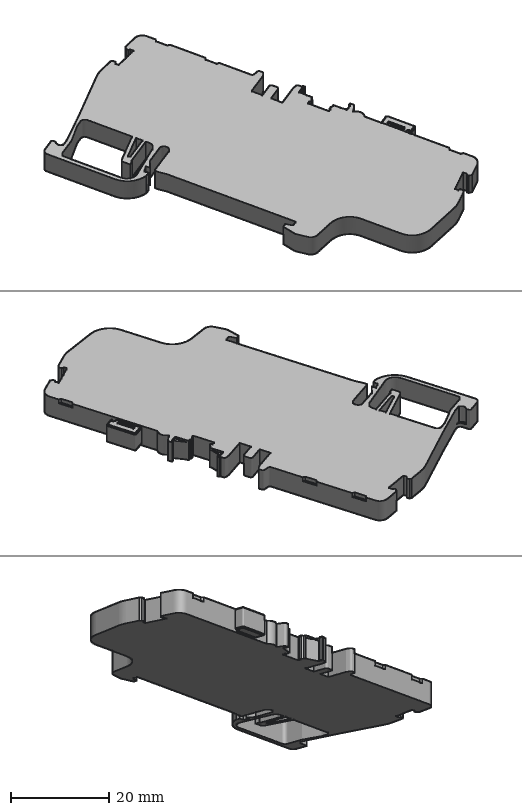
import cadquery as cq
import math

LENGTH = 82.36
HEIGHT = 42.41
THICKNESS = 5.0

DECK_Y = 39.69
BELLY_Y = 6.2
SHOULDER_Y = 13.15
WAIST_Y = 25.55

UPPER_LEAN_ANGLE = 8.5
LOWER_LEAN_ANGLE = 10.0
UPPER_LEAN = math.tan(math.radians(UPPER_LEAN_ANGLE))
LOWER_LEAN = math.tan(math.radians(LOWER_LEAN_ANGLE))
WAIST_HALF_TURN = (UPPER_LEAN_ANGLE + LOWER_LEAN_ANGLE) / 2
WAIST_RADIUS = 6.0
WAIST_OVERRUN = WAIST_RADIUS * (1 / math.cos(math.radians(WAIST_HALF_TURN)) - 1)

TOP_CORNER_RADIUS = 2.0
SHOULDER_RADIUS = 5.0


def upper_face_x(y):
    """X of the left end face above the waist."""
    return (y - WAIST_Y) * UPPER_LEAN - WAIST_OVERRUN


def lower_face_x(y):
    """X of the left end face below the waist."""
    return (WAIST_Y - y) * LOWER_LEAN - WAIST_OVERRUN


def mirrored(x):
    """X of the matching point at the other end of the housing."""
    return LENGTH - x


def prism(corners, bottom=0.0, top=THICKNESS):
    """Extrude a closed outline; a corner (x, y, r) is rounded, (x, y) is sharp."""
    runs = []
    count = len(corners)
    for i, corner in enumerate(corners):
        x, y = corner[:2]
        if len(corner) == 2:
            runs.append([(x, y)])
            continue
        radius = corner[2]
        before = cq.Vector(*corners[i - 1][:2])
        after = cq.Vector(*corners[(i + 1) % count][:2])
        tip = cq.Vector(x, y)
        to_before = (before - tip).normalized()
        to_after = (after - tip).normalized()
        half_angle = to_before.getAngle(to_after) / 2
        tangent_length = radius / math.tan(half_angle)
        tip_to_arc = radius / math.sin(half_angle) - radius
        bisector = (to_before + to_after).normalized()
        arc = [
            tip + to_before * tangent_length,
            tip + bisector * tip_to_arc,
            tip + to_after * tangent_length,
        ]
        runs.append([(point.x, point.y) for point in arc])

    outline = cq.Workplane("XY").workplane(offset=bottom).moveTo(*runs[0][-1])
    for run in runs[1:] + runs[:1]:
        outline = outline.lineTo(*run[0])
        if len(run) == 3:
            outline = outline.threePointArc(run[1], run[2])
    return outline.wire().extrude(top - bottom)


def box(x0, x1, y0, y1, bottom=0.0, top=THICKNESS):
    return prism([(x0, y0), (x1, y0), (x1, y1), (x0, y1)], bottom, top)


FOOT_TIP_X = 53.96
FOOT_THROAT_X = 55.57
FOOT_BACK_X = 62.75
FOOT_TIP_TOP_Y = 4.64
FOOT_TIP_BOTTOM_Y = 3.77
FOOT_THROAT_Y = 4.95
FOOT_THROAT_RADIUS = 0.3
FOOT_LOW_X = 57.06
FOOT_LOW_Y = 3.02
FOOT_HEEL_Y = 3.65
FOOT_HEEL_RADIUS = 1.85
FOOT_LOW_RADIUS = 2.0

SLOT_LEFT_X = 21.09
SLOT_RIGHT_X = 23.2
SLOT_RADIUS = 1.0
BELLY_LIP_Y = 5.95
BELLY_LIP_RADIUS = 0.3
BELLY_LIP_END_X = 24.1
BELLY_START_X = 26.05

TOE_X = 0.6
TOE_TOP_Y = 3.97
TOE_RADIUS = 1.0
TOE_TOP_RADIUS = 0.25
ANKLE_X = 3.3
ANKLE_Y = 5.46
OUTER_BEND_X = 21.16
OUTER_BEND_RADIUS = 5.6
HOOK_BOTTOM_Y = 3.85
HOOK_TIP_X = 22.45
HOOK_TOP_Y = 4.84
HOOK_NECK_X = 21.4
BARB_TIP_X = 22.1
BARB_Y = 6.25
BARB_TOP_Y = 7.95

WINDOW_TOP_Y = 12.55
WINDOW_FLOOR_Y = 1.0
WINDOW_LEFT_X = 3.25
WINDOW_KNEE_TOP_Y = 10.2
WINDOW_KNEE_BOTTOM_Y = 5.7
WINDOW_LOWER_LEFT_X = 4.25
WINDOW_RIGHT_TOP_X = 19.85
WINDOW_RIGHT_BOTTOM_X = 20.7

WINDOW_TOP_LEFT_RADIUS = 1.0
WINDOW_TOP_RIGHT_RADIUS = 1.4
WINDOW_BOTTOM_RIGHT_RADIUS = 2.3
WINDOW_BOTTOM_LEFT_RADIUS = 0.8

PRONG_LEFT_X = 14.6
PRONG_RIGHT_X = 17.75
PRONG_END_Y = 5.2
PRONG_END_RADIUS = 0.7
PRONG_NIB = 0.25
PRONG_NIB_HEIGHT = 1.0
PRONG_SLOT_LEFT_X = 15.5
PRONG_SLOT_RIGHT_X = 17.0
PRONG_SLOT_END_Y = 7.1
PRONG_SLOT_END_RADIUS = 0.2


def housing():
    """Plate with leaning ends, right-hand shoulder and both rail feet, still without openings."""
    heel_x = FOOT_BACK_X - (SHOULDER_Y - FOOT_HEEL_Y) * LOWER_LEAN
    deck_left_x = upper_face_x(DECK_Y)
    shoulder_x = mirrored(lower_face_x(SHOULDER_Y))
    return prism([
        (deck_left_x, DECK_Y, TOP_CORNER_RADIUS),
        (mirrored(deck_left_x), DECK_Y, TOP_CORNER_RADIUS),
        (mirrored(-WAIST_OVERRUN), WAIST_Y, WAIST_RADIUS),
        (shoulder_x, SHOULDER_Y, SHOULDER_RADIUS),
        (FOOT_BACK_X, SHOULDER_Y, SHOULDER_RADIUS),
        (heel_x, FOOT_HEEL_Y, FOOT_HEEL_RADIUS),
        (FOOT_LOW_X, FOOT_LOW_Y, FOOT_LOW_RADIUS),
        (FOOT_TIP_X, FOOT_TIP_BOTTOM_Y),
        (FOOT_TIP_X, FOOT_TIP_TOP_Y),
        (FOOT_THROAT_X, FOOT_THROAT_Y, FOOT_THROAT_RADIUS),
        (FOOT_THROAT_X, BELLY_Y),
        (BELLY_START_X, BELLY_Y),
        (BELLY_LIP_END_X, BELLY_LIP_Y),
        (SLOT_RIGHT_X, BELLY_LIP_Y, BELLY_LIP_RADIUS),
        (SLOT_RIGHT_X, SHOULDER_Y, SLOT_RADIUS),
        (SLOT_LEFT_X, SHOULDER_Y, SLOT_RADIUS),
        (SLOT_LEFT_X, BARB_TOP_Y),
        (BARB_TIP_X, BARB_Y),
        (SLOT_LEFT_X, BARB_Y),
        (HOOK_NECK_X, HOOK_TOP_Y),
        (HOOK_TIP_X, HOOK_TOP_Y),
        (HOOK_TIP_X, HOOK_BOTTOM_Y),
        (OUTER_BEND_X, 0, OUTER_BEND_RADIUS),
        (TOE_X, 0, TOE_RADIUS),
        (TOE_X, TOE_TOP_Y, TOE_TOP_RADIUS),
        (ANKLE_X, TOE_TOP_Y),
        (ANKLE_X, ANKLE_Y),
        (lower_face_x(WINDOW_TOP_Y), WINDOW_TOP_Y),
        (-WAIST_OVERRUN, WAIST_Y, WAIST_RADIUS),
    ])


def foot_window():
    """Opening of the left foot, with the forked prong left standing in it."""
    window = prism([
        (WINDOW_LEFT_X, WINDOW_TOP_Y, WINDOW_TOP_LEFT_RADIUS),
        (WINDOW_RIGHT_TOP_X, WINDOW_TOP_Y, WINDOW_TOP_RIGHT_RADIUS),
        (WINDOW_RIGHT_BOTTOM_X, WINDOW_FLOOR_Y, WINDOW_BOTTOM_RIGHT_RADIUS),
        (WINDOW_LOWER_LEFT_X, WINDOW_FLOOR_Y, WINDOW_BOTTOM_LEFT_RADIUS),
        (WINDOW_LOWER_LEFT_X, WINDOW_KNEE_BOTTOM_Y),
        (WINDOW_LEFT_X, WINDOW_KNEE_TOP_Y),
    ])
    prong_drop = WINDOW_TOP_Y - PRONG_END_Y
    prong = prism([
        (PRONG_LEFT_X, WINDOW_TOP_Y),
        (PRONG_LEFT_X + prong_drop * LOWER_LEAN, PRONG_END_Y, PRONG_END_RADIUS),
        (PRONG_RIGHT_X + PRONG_NIB, PRONG_END_Y),
        (PRONG_RIGHT_X + PRONG_NIB, PRONG_END_Y + PRONG_NIB_HEIGHT),
        (PRONG_RIGHT_X, PRONG_END_Y + PRONG_NIB_HEIGHT),
        (PRONG_RIGHT_X, WINDOW_TOP_Y),
    ])
    slot_drop = WINDOW_TOP_Y - PRONG_SLOT_END_Y
    prong_slot = prism([
        (PRONG_SLOT_LEFT_X, WINDOW_TOP_Y),
        (PRONG_SLOT_LEFT_X + slot_drop * LOWER_LEAN, PRONG_SLOT_END_Y, PRONG_SLOT_END_RADIUS),
        (PRONG_SLOT_RIGHT_X, PRONG_SLOT_END_Y, PRONG_SLOT_END_RADIUS),
        (PRONG_SLOT_RIGHT_X, WINDOW_TOP_Y),
    ])
    return window.cut(prong.cut(prong_slot))


RELIEF_RADIUS = 0.9
RELIEF_X = ANKLE_X - RELIEF_RADIUS
RELIEF_RISE = 0.4
RELIEF_Y = TOE_TOP_Y + RELIEF_RISE
WEB_THICKNESS = 1.0
WEB_RADIUS = 0.8


def toe_relief():
    """Round undercut in the corner between toe and ankle, above the web."""
    return (
        cq.Workplane("XY")
        .workplane(offset=WEB_THICKNESS)
        .center(RELIEF_X, RELIEF_Y)
        .circle(RELIEF_RADIUS)
        .extrude(THICKNESS - WEB_THICKNESS)
    )


def toe_web():
    """Concave fillet between the toe and the ankle, only at the lower face."""
    corner_x = ANKLE_X
    corner_y = TOE_TOP_Y
    fill = box(corner_x - WEB_RADIUS, corner_x, corner_y, corner_y + WEB_RADIUS, 0, WEB_THICKNESS)
    hollow = (cq.Workplane("XY").center(corner_x - WEB_RADIUS, corner_y + WEB_RADIUS)
              .circle(WEB_RADIUS).extrude(WEB_THICKNESS))
    return fill.cut(hollow)


NOTCH_TOP_Y = 34.7
NOTCH_BOTTOM_Y = 29.65
NOTCH_TOP_DEPTH_X = 3.3
NOTCH_BOTTOM_DEPTH_X = 2.5
NOTCH_UPPER_TIP_Y = 34.9
UPPER_BUMP_Y = 34.4
UPPER_BUMP_LEFT_X = 1.8
UPPER_BUMP_RIGHT_X = 2.2
UPPER_BUMP_ROOT_X = 2.5
LOWER_BUMP_Y = 30.15
LOWER_BUMP_LEFT_X = 0.85
LOWER_BUMP_RIGHT_X = 1.55
LOWER_BUMP_ROOT_X = 1.8
LOWER_BUMP_SHOULDER_Y = 29.75
OUTSIDE_X = -1.0


def end_notch():
    """Latching notch in the left end face, with a bump at each edge of its mouth."""
    return prism([
        (OUTSIDE_X, NOTCH_UPPER_TIP_Y),
        (upper_face_x(NOTCH_UPPER_TIP_Y), NOTCH_UPPER_TIP_Y),
        (UPPER_BUMP_LEFT_X, UPPER_BUMP_Y),
        (UPPER_BUMP_RIGHT_X, UPPER_BUMP_Y),
        (UPPER_BUMP_ROOT_X, NOTCH_TOP_Y),
        (NOTCH_TOP_DEPTH_X, NOTCH_TOP_Y),
        (NOTCH_BOTTOM_DEPTH_X, NOTCH_BOTTOM_Y),
        (LOWER_BUMP_ROOT_X, NOTCH_BOTTOM_Y),
        (LOWER_BUMP_RIGHT_X, LOWER_BUMP_Y),
        (LOWER_BUMP_LEFT_X, LOWER_BUMP_Y),
        (upper_face_x(LOWER_BUMP_SHOULDER_Y), LOWER_BUMP_SHOULDER_Y),
        (OUTSIDE_X, LOWER_BUMP_SHOULDER_Y),
    ])


WELL_FLOOR_Y = 35.47
WELL_LEFT_X = 30.02
WELL_RIGHT_X = 37.1
POST_LEFT_X = 32.5
POST_RIGHT_X = 34.5
POST_TOP_Y = 38.95
POST_RADIUS = 0.5

BAY_LEFT_X = 41.8
BAY_RIGHT_X = 46.65
BAY_FLOOR_Y = 37.71
LIP_TOP_Y = 39.2
LIP_Y = 38.9
LIP_BOTTOM_Y = 38.4
LEFT_LIP_REACH = 0.45
RIGHT_LIP_REACH = 0.25

ROOT_DEPTH = 1.0
ROOT_Y = DECK_Y - ROOT_DEPTH
HORN_TOP_Y = 41.43
HORN_FOOT_X = 27.0
HORN_LEFT_X = 28.1
HORN_TOP_LEFT_X = 28.5
HORN_TOP_RIGHT_X = 29.7
HORN_SHOULDER_Y = 40.3
HORN_RADIUS = 0.5

HOOK_POST_TOP_Y = 41.7
HOOK_UNDERSIDE_Y = 41.15
HOOK_POST_RADIUS = 0.4
LEFT_HOOK_TIP_X = 39.05
LEFT_HOOK_INNER_X = 38.7
LEFT_HOOK_STEP_X = 38.3
LEFT_HOOK_CROWN_X = 37.4
RIGHT_HOOK_TIP_X = 49.4
RIGHT_HOOK_INNER_X = 49.7
RIGHT_HOOK_CROWN_X = 50.4
RIGHT_HOOK_OUTER_X = 51.0

RAMP_DROP = 0.5
RAMP_TOP_Z = THICKNESS - RAMP_DROP
RAMP_HIGH_Y = 40.5
LEFT_RAMP_END_X = 41.4
RIGHT_RAMP_END_X = 47.2

BUMP_FLAT_Y = 39.95
BUMP_START_X = 51.2
BUMP_CREST_X = 52.3
BUMP_CREST_Y = 40.42
BUMP_END_X = 53.85


def twin_well():
    """Deep well in the top edge with a round-topped post in its middle."""
    well = box(WELL_LEFT_X, WELL_RIGHT_X, WELL_FLOOR_Y, HEIGHT)
    post = prism([
        (POST_LEFT_X, WELL_FLOOR_Y),
        (POST_RIGHT_X, WELL_FLOOR_Y),
        (POST_RIGHT_X, POST_TOP_Y, POST_RADIUS),
        (POST_LEFT_X, POST_TOP_Y, POST_RADIUS),
    ])
    return well.cut(post)


def label_bay():
    """Shallow bay in the top edge whose walls carry a snap lip."""
    return prism([
        (BAY_LEFT_X, BAY_FLOOR_Y),
        (BAY_RIGHT_X, BAY_FLOOR_Y),
        (BAY_RIGHT_X, LIP_BOTTOM_Y),
        (BAY_RIGHT_X - RIGHT_LIP_REACH, LIP_BOTTOM_Y),
        (BAY_RIGHT_X - RIGHT_LIP_REACH, LIP_Y),
        (BAY_RIGHT_X, LIP_TOP_Y),
        (BAY_RIGHT_X, HEIGHT),
        (BAY_LEFT_X, HEIGHT),
        (BAY_LEFT_X, LIP_TOP_Y),
        (BAY_LEFT_X + LEFT_LIP_REACH, LIP_Y),
        (BAY_LEFT_X + LEFT_LIP_REACH, LIP_BOTTOM_Y),
        (BAY_LEFT_X, LIP_BOTTOM_Y),
    ])


def plain_horn():
    """Round-topped horn at the left edge of the well."""
    return prism([
        (HORN_FOOT_X, ROOT_Y),
        (WELL_LEFT_X, ROOT_Y),
        (WELL_LEFT_X, HORN_SHOULDER_Y),
        (HORN_TOP_RIGHT_X, HORN_TOP_Y, HORN_RADIUS),
        (HORN_TOP_LEFT_X, HORN_TOP_Y, HORN_RADIUS),
        (HORN_LEFT_X, DECK_Y, HORN_RADIUS),
        (HORN_FOOT_X, DECK_Y),
    ])


def left_hook():
    """Hooked post between the well and the bay."""
    return prism([
        (WELL_RIGHT_X, ROOT_Y),
        (LEFT_HOOK_INNER_X, ROOT_Y),
        (LEFT_HOOK_INNER_X, HOOK_UNDERSIDE_Y),
        (LEFT_HOOK_TIP_X, HOOK_UNDERSIDE_Y),
        (LEFT_HOOK_TIP_X, HOOK_POST_TOP_Y),
        (LEFT_HOOK_STEP_X + HOOK_POST_TOP_Y - HORN_TOP_Y, HOOK_POST_TOP_Y),
        (LEFT_HOOK_STEP_X, HORN_TOP_Y),
        (LEFT_HOOK_CROWN_X, HORN_TOP_Y, HOOK_POST_RADIUS),
        (WELL_RIGHT_X, HORN_SHOULDER_Y),
    ])


def right_hook():
    """Hooked post on the far side of the bay, facing the left one."""
    return prism([
        (RIGHT_HOOK_INNER_X, ROOT_Y),
        (RIGHT_HOOK_OUTER_X, ROOT_Y),
        (RIGHT_HOOK_OUTER_X, BUMP_FLAT_Y),
        (RIGHT_HOOK_CROWN_X, HOOK_POST_TOP_Y, HOOK_POST_RADIUS),
        (RIGHT_HOOK_TIP_X, HOOK_POST_TOP_Y),
        (RIGHT_HOOK_TIP_X, HOOK_UNDERSIDE_Y),
        (RIGHT_HOOK_INNER_X, HOOK_UNDERSIDE_Y),
    ])


def ramp(post_x, end_x):
    """Sloping web that falls from a hooked post to the deck."""
    return prism([
        (post_x, LIP_TOP_Y),
        (end_x, LIP_TOP_Y),
        (end_x, DECK_Y),
        (post_x, RAMP_HIGH_Y),
    ], 0, RAMP_TOP_Z)


def deck_bump():
    """Low rounded swelling beside the right hooked post."""
    return (
        cq.Workplane("XY")
        .moveTo(RIGHT_HOOK_CROWN_X, ROOT_Y)
        .lineTo(RIGHT_HOOK_CROWN_X, BUMP_FLAT_Y)
        .lineTo(BUMP_START_X, BUMP_FLAT_Y)
        .threePointArc((BUMP_CREST_X, BUMP_CREST_Y), (BUMP_END_X, DECK_Y))
        .lineTo(BUMP_END_X, ROOT_Y)
        .close()
        .extrude(THICKNESS)
    )


CLIP_LEFT_X = 57.4
CLIP_RIGHT_X = 64.2
CLIP_STEM_X = 63.1
CLIP_INSET = 0.25
CLIP_CHAMFER = 0.25
CLIP_CORNER = 0.3
CLIP_BARB_Y = 40.3
CLIP_BARB_WIDTH = 0.35
CLIP_THROAT_Y = 40.7
CLIP_THROAT_X = 63.4
CLIP_SLOT_DEPTH = 0.3
CLIP_SLOT_LEFT_X = 58.65
CLIP_SLOT_RIGHT_X = 62.4
CLIP_SLOT_BOTTOM_Y = 40.4
CLIP_SLOT_TOP_Y = 40.95


def marker_clip():
    """Clip standing on the deck, with a downward barb, chamfered rims and a shallow slot."""
    bottom = CLIP_INSET
    top = THICKNESS - CLIP_INSET
    barb_x = CLIP_RIGHT_X - CLIP_BARB_WIDTH
    clip = prism([
        (CLIP_LEFT_X, DECK_Y),
        (CLIP_STEM_X, DECK_Y),
        (CLIP_STEM_X, CLIP_BARB_Y),
        (CLIP_THROAT_X, CLIP_THROAT_Y),
        (barb_x, CLIP_THROAT_Y),
        (barb_x, CLIP_BARB_Y),
        (CLIP_RIGHT_X, CLIP_BARB_Y),
        (CLIP_RIGHT_X, HEIGHT, CLIP_CORNER),
        (CLIP_LEFT_X, HEIGHT, CLIP_CORNER),
    ], bottom, top)
    clip = clip.faces("<X or >Y or <Y").edges("|X or |Y").chamfer(CLIP_CHAMFER)
    slot = box(
        CLIP_SLOT_LEFT_X, CLIP_SLOT_RIGHT_X, CLIP_SLOT_BOTTOM_Y, CLIP_SLOT_TOP_Y, top - CLIP_SLOT_DEPTH, top
    )
    return clip.cut(slot)


MARK_LEFT_XS = (5.8, 17.2, 73.3)
MARK_LENGTH = 3.2
MARK_WIDTH = 0.45
MARK_DEPTH = 1.0
MARK_END_TAPER = 0.3


def edge_mark(left_x):
    """Small recess in the upper face along the top edge."""
    right_x = left_x + MARK_LENGTH
    return prism([
        (left_x, DECK_Y),
        (left_x + MARK_END_TAPER, DECK_Y - MARK_WIDTH),
        (right_x - MARK_END_TAPER, DECK_Y - MARK_WIDTH),
        (right_x, DECK_Y),
    ], THICKNESS - MARK_DEPTH, THICKNESS)


notch = end_notch()
result = housing().union(plain_horn()).union(left_hook()).union(right_hook()).union(deck_bump())
result = result.union(ramp(LEFT_HOOK_INNER_X, LEFT_RAMP_END_X))
result = result.union(ramp(RIGHT_HOOK_INNER_X, RIGHT_RAMP_END_X))
result = result.cut(foot_window()).cut(twin_well()).cut(label_bay())
result = result.cut(notch).cut(notch.mirror("YZ").translate((LENGTH, 0, 0)))
result = result.cut(toe_relief()).union(toe_web())
for mark_x in MARK_LEFT_XS:
    result = result.cut(edge_mark(mark_x))
result = result.union(marker_clip())